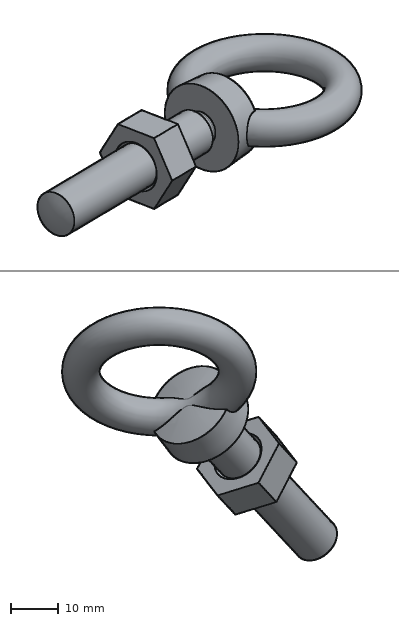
import cadquery as cq
import math


ring_outer_diameter = 41.0
wire_diameter = 8.0
wire_radius = wire_diameter / 2
ring_outer_radius = ring_outer_diameter / 2
ring_center_radius = ring_outer_radius - wire_radius

overall_length = 91.5
tip_y = ring_outer_radius - overall_length

collar_base_y = -21.0
collar_height = 7.2
collar_base_radius = 20.0 / 2
collar_top_radius = 9.5
collar_dome_height = 1.2
collar_shoulder_y = collar_base_y + collar_height
collar_apex_y = collar_shoulder_y + collar_dome_height

shank_radius = 5.0
neck_radius = 3.75
neck_straight_length = 0.55
neck_flare_length = 1.9
neck_flare_radius = 2.9
tip_dome_height = 1.2
neck_flare_start_y = collar_base_y - neck_straight_length
shank_start_y = neck_flare_start_y - neck_flare_length
shank_end_y = tip_y + tip_dome_height

nut_across_flats = 17.0
nut_thickness = 8.0
nut_gap = 11.5
countersink_radius = 5.7
countersink_depth = countersink_radius - shank_radius
nut_upper_y = shank_start_y - nut_gap
nut_lower_y = nut_upper_y - nut_thickness


def dome_point(base_radius, base_y, height):
    """Point halfway along the arc from a dome's rim to its apex; height may be negative."""
    sphere_radius = (base_radius**2 + height**2) / (2 * abs(height))
    half_angle = math.asin(base_radius / sphere_radius) / 2
    drop = math.copysign(sphere_radius * (1 - math.cos(half_angle)), height)
    return (sphere_radius * math.sin(half_angle), base_y + height - drop)


def flare_point(axial_distance):
    """Point on the neck flare, which starts tangent to the straight neck."""
    rise = neck_flare_radius - math.sqrt(neck_flare_radius**2 - axial_distance**2)
    return (neck_radius + rise, neck_flare_start_y - axial_distance)


def revolve_about_y(profile):
    return profile.revolve(360, (0, 0, 0), (0, 1, 0))


def make_ring():
    section = cq.Workplane("YZ").center(ring_center_radius, 0).circle(wire_radius)
    return section.revolve(360, (-ring_center_radius, 0, 0), (-ring_center_radius, 1, 0))


def make_stem():
    """Collar, neck and shank as one turned shape."""
    profile = (
        cq.Workplane("XY")
        .moveTo(0, collar_apex_y)
        .threePointArc(
            dome_point(collar_top_radius, collar_shoulder_y, collar_dome_height),
            (collar_top_radius, collar_shoulder_y),
        )
        .lineTo(collar_base_radius, collar_base_y)
        .lineTo(neck_radius, collar_base_y)
        .lineTo(neck_radius, neck_flare_start_y)
        .threePointArc(flare_point(neck_flare_length / 2), flare_point(neck_flare_length))
        .lineTo(shank_radius, shank_start_y)
        .lineTo(shank_radius, shank_end_y)
        .threePointArc(dome_point(shank_radius, shank_end_y, -tip_dome_height), (0, tip_y))
        .close()
    )
    return revolve_about_y(profile)


def make_eye_bolt():
    return make_ring().union(make_stem())


def make_nut():
    across_corners = nut_across_flats / math.cos(math.pi / 6)
    hexagon = (
        cq.Workplane("XZ", origin=(0, nut_upper_y, 0))
        .polygon(6, across_corners)
        .extrude(nut_thickness)
    )
    bore = revolve_about_y(
        cq.Workplane("XY").polyline(
            [
                (0, nut_upper_y),
                (countersink_radius, nut_upper_y),
                (shank_radius, nut_upper_y - countersink_depth),
                (shank_radius, nut_lower_y + countersink_depth),
                (countersink_radius, nut_lower_y),
                (0, nut_lower_y),
            ]
        ).close()
    )
    return hexagon.cut(bore)


eye_bolt = make_eye_bolt()
nut = make_nut()
result = cq.Compound.makeCompound([eye_bolt.val(), nut.val()])